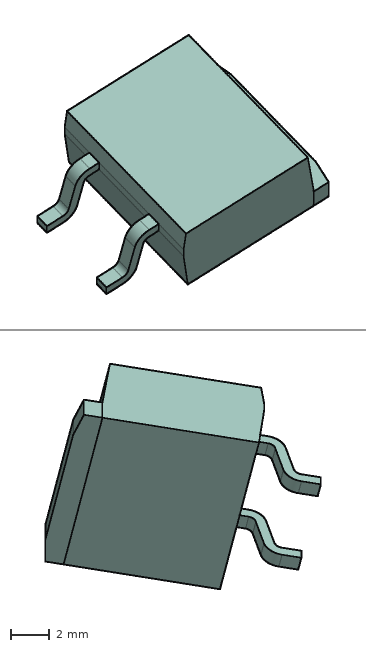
import cadquery as cq
import math

WIDTH = 10.16
LENGTH = 13.4
HEIGHT = 4.57

HOUSING_BACK = 12.13
HOUSING_TOP_BACK = 11.72
HOUSING_TOP_FRONT = 3.63
HOUSING_FRONT = 3.47
HOUSING_BOTTOM_FRONT = 3.75

TAB_THICKNESS = 1.26
TAB_CORNER_X = 1.46
TAB_CORNER_Y = 0.28

LEAD_PITCH = 5.08
LEAD_WIDTH = 0.83
LEAD_THICKNESS = 0.59
LEAD_TOP = 3.3
LEAD_BOTTOM = LEAD_TOP - LEAD_THICKNESS
INNER_BEND = 0.4
OUTER_BEND = INNER_BEND + LEAD_THICKNESS
UPPER_BEND_Y = 2.84
LOWER_BEND_Y = 1.06
UPPER_BEND_Z = LEAD_TOP - OUTER_BEND
LOWER_BEND_Z = OUTER_BEND

bend_run = UPPER_BEND_Y - LOWER_BEND_Y
bend_drop = UPPER_BEND_Z - LOWER_BEND_Z
LEG_ANGLE = math.atan2(bend_drop, bend_run) + math.asin(
    (OUTER_BEND + INNER_BEND) / math.hypot(bend_run, bend_drop)
)


def extrude_across(profile, width):
    """Extrude a YZ profile symmetrically about X = 0."""
    return profile.extrude(width / 2, both=True)


def make_housing():
    """Moulded housing with drafted ends and a flat band where the leads emerge."""
    profile = (
        cq.Workplane("YZ")
        .moveTo(HOUSING_BOTTOM_FRONT, 0)
        .lineTo(HOUSING_BACK, 0)
        .lineTo(HOUSING_BACK, TAB_THICKNESS)
        .lineTo(HOUSING_TOP_BACK, HEIGHT)
        .lineTo(HOUSING_TOP_FRONT, HEIGHT)
        .lineTo(HOUSING_FRONT, LEAD_TOP)
        .lineTo(HOUSING_FRONT, LEAD_BOTTOM)
        .close()
    )
    return extrude_across(profile, WIDTH)


def make_tab():
    """Full-width tab against the back of the housing, with cut rear corners."""
    side = WIDTH / 2
    return (
        cq.Workplane("XY")
        .moveTo(-side, HOUSING_BACK)
        .lineTo(side, HOUSING_BACK)
        .lineTo(side, LENGTH - TAB_CORNER_Y)
        .lineTo(side - TAB_CORNER_X, LENGTH)
        .lineTo(-side + TAB_CORNER_X, LENGTH)
        .lineTo(-side, LENGTH - TAB_CORNER_Y)
        .close()
        .extrude(TAB_THICKNESS)
    )


def upper_bend_point(radius, angle):
    """YZ point on the upper bend, turned by angle from its highest point."""
    return (UPPER_BEND_Y - radius * math.sin(angle), UPPER_BEND_Z + radius * math.cos(angle))


def lower_bend_point(radius, angle):
    """YZ point on the lower bend, turned by angle from its lowest point."""
    return (LOWER_BEND_Y + radius * math.sin(angle), LOWER_BEND_Z - radius * math.cos(angle))


def make_lead(center_x):
    """Gull-wing lead of constant thickness, from the housing face to its foot."""
    half_angle = LEG_ANGLE / 2
    profile = (
        cq.Workplane("YZ")
        .moveTo(HOUSING_FRONT, LEAD_TOP)
        .lineTo(*upper_bend_point(OUTER_BEND, 0))
        .threePointArc(upper_bend_point(OUTER_BEND, half_angle), upper_bend_point(OUTER_BEND, LEG_ANGLE))
        .lineTo(*lower_bend_point(INNER_BEND, LEG_ANGLE))
        .threePointArc(lower_bend_point(INNER_BEND, half_angle), lower_bend_point(INNER_BEND, 0))
        .lineTo(0, LEAD_THICKNESS)
        .lineTo(0, 0)
        .lineTo(*lower_bend_point(OUTER_BEND, 0))
        .threePointArc(lower_bend_point(OUTER_BEND, half_angle), lower_bend_point(OUTER_BEND, LEG_ANGLE))
        .lineTo(*upper_bend_point(INNER_BEND, LEG_ANGLE))
        .threePointArc(upper_bend_point(INNER_BEND, half_angle), upper_bend_point(INNER_BEND, 0))
        .lineTo(HOUSING_FRONT, LEAD_BOTTOM)
        .close()
    )
    return extrude_across(profile, LEAD_WIDTH).translate((center_x, 0, 0))


housing = make_housing()
tab = make_tab()
leads = [make_lead(side * LEAD_PITCH / 2) for side in (-1, 1)]

result = cq.Compound.makeCompound([housing.val(), tab.val(), *[lead.val() for lead in leads]])